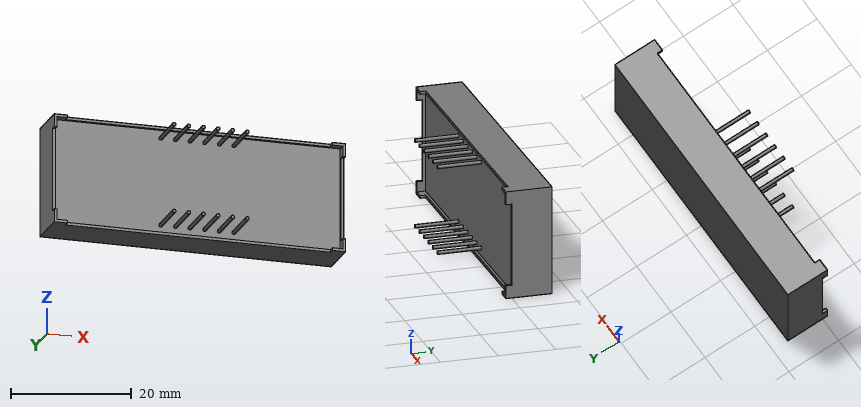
import cadquery as cq

width = 50.6
height = 19.0
wall = 0.48
rim_depth = 7.0
foot_depth = 8.0
recess_depth = 0.5
foot_length = 2.3

overall_depth = 14.0
pin_diameter = 0.6
pins_per_row = 6
row_length = 12.7
row_spacing = 15.25

floor_depth = rim_depth - recess_depth
pin_pitch = row_length / (pins_per_row - 1)


def block(size_x, size_z, depth_from, depth_to):
    """Box centred on the Y axis, spanning two depths measured towards -Y."""
    return (
        cq.Workplane("XZ", origin=(0, -depth_from, 0))
        .rect(size_x, size_z)
        .extrude(depth_to - depth_from)
    )


def make_housing():
    """Box with a recessed floor and walls cut back to leave an L-shaped foot at each corner."""
    body = block(width, height, 0, foot_depth)
    recess = block(width - 2 * wall, height - 2 * wall, floor_depth, foot_depth)
    long_wall_gap = block(width - 2 * foot_length, height, rim_depth, foot_depth)
    short_wall_gap = block(width, height - 2 * foot_length, rim_depth, foot_depth)
    return body.cut(recess).cut(long_wall_gap).cut(short_wall_gap)


def make_pins():
    """Two rows of round pins reaching from the floor to the overall depth."""
    return (
        cq.Workplane("XZ", origin=(0, -floor_depth, 0))
        .rarray(pin_pitch, row_spacing, pins_per_row, 2)
        .circle(pin_diameter / 2)
        .extrude(overall_depth - floor_depth)
    )


result = make_housing().union(make_pins())